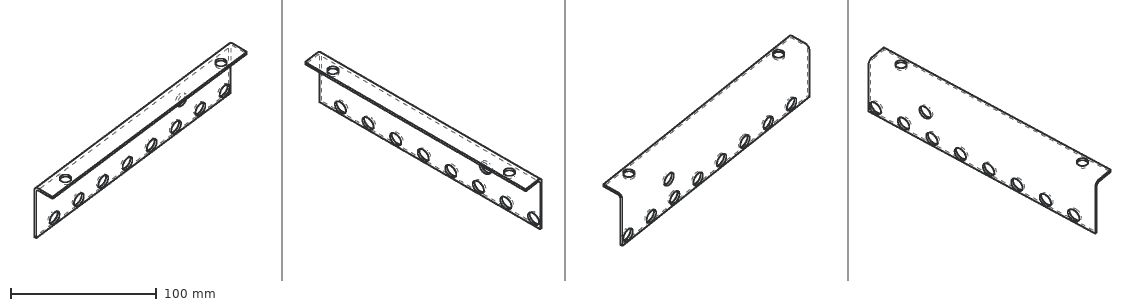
import cadquery as cq

length = 200.0
flange_width = 17.0
height = 47.0
thickness = 2.0
bend_inner_radius = 2.5
bend_outer_radius = bend_inner_radius + thickness

web_hole_diameter = 10.0
row_count = 8
row_pitch = 25.0
row_end_offset = 6.0
row_height = 6.0

upper_hole_end_offset = 50.0
upper_hole_height = 27.0

flange_hole_diameter = 8.0
flange_hole_end_offset = 20.0
flange_hole_x = 11.0


def bent_sheet():
    """Upright web and top flange joined by a rounded bend."""
    outer = cq.Workplane("XY").box(flange_width, length, height, centered=False)
    outer = outer.edges("<X and >Z").fillet(bend_outer_radius)
    inner = (
        cq.Workplane("XY")
        .box(flange_width, length, height, centered=False)
        .translate((thickness, 0, -thickness))
        .edges("<X and >Z")
        .fillet(bend_inner_radius)
    )
    return outer.cut(inner)


def web_holes():
    """Cutters through the web, along X."""
    centers = [
        (length - row_end_offset - i * row_pitch, row_height)
        for i in range(row_count)
    ]
    centers.append((length - upper_hole_end_offset, upper_hole_height))
    return (
        cq.Workplane("YZ")
        .pushPoints(centers)
        .circle(web_hole_diameter / 2)
        .extrude(thickness)
    )


def flange_holes():
    """Cutters through the top flange, along Z."""
    centers = [
        (flange_hole_x, flange_hole_end_offset),
        (flange_hole_x, length - flange_hole_end_offset),
    ]
    return (
        cq.Workplane("XY", origin=(0, 0, height - thickness))
        .pushPoints(centers)
        .circle(flange_hole_diameter / 2)
        .extrude(thickness)
    )


result = bent_sheet().cut(web_holes()).cut(flange_holes())